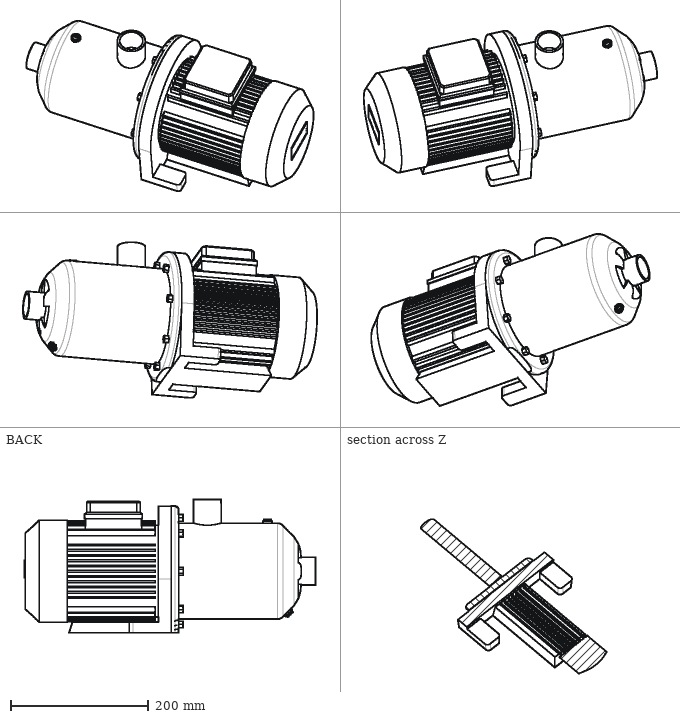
import cadquery as cq
import math

HEIGHT = 194.0
OUTLET_TOP = 104.5
BASE_Z = OUTLET_TOP - HEIGHT

SHOULDER_X = 55.5
FLANGE_X = 199.3
BRACKET_X = 210.0
MOTOR_X = 229.0
FIN_X = 233.5
FAN_COVER_X = 361.2
FAN_COVER_TAPER_X = 402.5
FAN_COVER_END_X = 422.7
END_X = 424.0

CASING_R = 140.0 / 2
SHOULDER_FILLET = 10.5
CONE_ANGLE = math.radians(45)
CONE_FRONT_R = 50.5
DOME_FRONT_X = 21.0
PORT_R = 40.5 / 2
PORT_BORE_R = 33.5 / 2
INLET_DEPTH = 19.5
OUTLET_X = 157.7
OUTLET_DEPTH = 34.0
POCKET_FLOOR_X = 25.0
POCKET_R = 39.5
POCKET_START = 19.0
POCKET_COUNT = 4
POCKET_SWEEP = 360 / POCKET_COUNT - 2 * POCKET_START

PLUG_R = 13.5 / 2
PLUG_HEIGHT = 4.0
PLUG_CHAMFER = 1.3
PLUG_DEPTH = 2.0
PLUG_RIDGE_WIDTH = 2.0
PLUG_RIDGE_HEIGHT = 1.5
VENT_PLUG_X = 70.0
DRAIN_PLUG_X = 40.5

FLANGE_R = 190.0 / 2
FLANGE_FILLET = 6.0
BOLT_COUNT = 8
BOLT_CIRCLE_R = 77.5
BOLT_CORNERS = 11.5
BOLT_HEAD = 6.5

BASE_HALF_WIDTH = 85.2
FOOT_TOP_Z = -73.8
PAD_END_X = 271.5
PAD_INNER_Y = 59.8
PAD_CORNER_R = 5.0
RIB_HALF_WIDTH = 35.0
RIB_DRAFT = 5.0
RIB_BOTTOM_END_X = 359.0

CORE_R = 134.0 / 2
FIN_TIP_R = 73.5
FIN_THICKNESS = 2.5
FIN_PITCH = 7.5
FINS_EACH_SIDE = 4
SIDE_FIN_OUTER = 38.0
TOP_FIN_OUTER = 41.5

FAN_COVER_R = 149.0 / 2
FAN_COVER_END_R = 55.5
PLATE_WIDTH = 56.0
PLATE_HEIGHT = 25.5
PLATE_Z = 3.0

BOX_X = 294.3
BOX_BASE = 82.0
BOX_RIM = 84.5
RIM_BOTTOM_Z = 76.5
RIM_TOP_Z = 85.5
LID_TOP_Z = 101.8
RIM_CHAMFER = 3.0
BOX_LID = BOX_RIM - 2 * RIM_CHAMFER
LID_CORNER_CHAMFER = 5.0
LID_TOP_CHAMFER = 2.0

SHOULDER_FRONT_X = SHOULDER_X - SHOULDER_FILLET * math.sin(CONE_ANGLE)
SHOULDER_FRONT_R = CASING_R - SHOULDER_FILLET * (1 - math.cos(CONE_ANGLE))
CONE_FRONT_X = SHOULDER_FRONT_X - (SHOULDER_FRONT_R - CONE_FRONT_R) / math.tan(CONE_ANGLE)


def cylinder_x(radius, start, end):
    """A round bar along the pump axis."""
    return cq.Workplane("YZ", origin=(start, 0, 0)).circle(radius).extrude(end - start)


def box_between(x0, x1, y0, y1, z0, z1):
    """A box given by its limits along each axis."""
    return cq.Workplane("XY").box(x1 - x0, y1 - y0, z1 - z0, centered=False).translate((x0, y0, z0))


def plug_frame(outward):
    """Workplane on the casing wall at a plug, facing outward."""
    if outward == "up":
        origin, normal = (VENT_PLUG_X, 0, CASING_R), (0, 0, 1)
    else:
        wall_r = CONE_FRONT_R + (DRAIN_PLUG_X - CONE_FRONT_X) * math.tan(CONE_ANGLE)
        origin = (DRAIN_PLUG_X, 0, -wall_r)
        normal = (-math.sin(CONE_ANGLE), 0, -math.cos(CONE_ANGLE))
    along_wall = (normal[2], 0, -normal[0])
    return cq.Plane(origin=origin, xDir=along_wall, normal=normal)


def make_plug(plane):
    """Round plug seated in the casing, with a grip ridge across its face."""
    seated = cq.Workplane(plane).circle(PLUG_R).extrude(-PLUG_DEPTH)
    head = cq.Workplane(plane).circle(PLUG_R).extrude(PLUG_HEIGHT)
    top_edge = cq.selectors.DirectionMinMaxSelector(plane.zDir)
    head = head.faces(top_edge).edges().chamfer(PLUG_CHAMFER)
    face_r = PLUG_R - PLUG_CHAMFER
    ridge = (
        cq.Workplane(plane)
        .workplane(offset=PLUG_HEIGHT)
        .rect(2 * face_r, PLUG_RIDGE_WIDTH)
        .extrude(PLUG_RIDGE_HEIGHT)
        .intersect(cq.Workplane(plane).circle(face_r).extrude(PLUG_HEIGHT + PLUG_RIDGE_HEIGHT))
    )
    return seated.union(head).union(ridge)


def make_pocket(start_angle):
    """Sector that flattens the dome between two of its radial arms."""
    angles = [math.radians(start_angle + POCKET_SWEEP * part) for part in (0, 0.5, 1)]
    start, middle, end = [(CONE_FRONT_R * math.cos(a), CONE_FRONT_R * math.sin(a)) for a in angles]
    sector = (
        cq.Workplane("YZ")
        .lineTo(*start)
        .threePointArc(middle, end)
        .close()
        .extrude(POCKET_FLOOR_X)
    )
    return sector.cut(cylinder_x(PORT_R, 0, POCKET_FLOOR_X))


def make_casing(plug_planes):
    """Pump casing with a domed front, an inlet, an outlet and seats for the plugs."""
    shoulder_mid = (
        SHOULDER_X - SHOULDER_FILLET * math.sin(CONE_ANGLE / 2),
        CASING_R - SHOULDER_FILLET * (1 - math.cos(CONE_ANGLE / 2)),
    )
    shell = (
        cq.Workplane("XY")
        .moveTo(DOME_FRONT_X, 0)
        .lineTo(DOME_FRONT_X, PORT_R)
        .threePointArc((POCKET_FLOOR_X, POCKET_R), (CONE_FRONT_X, CONE_FRONT_R))
        .lineTo(SHOULDER_FRONT_X, SHOULDER_FRONT_R)
        .threePointArc(shoulder_mid, (SHOULDER_X, CASING_R))
        .lineTo(FLANGE_X, CASING_R)
        .lineTo(FLANGE_X, 0)
        .close()
        .revolve(360, (0, 0, 0), (1, 0, 0))
    )
    for quarter in range(POCKET_COUNT):
        shell = shell.cut(make_pocket(POCKET_START + quarter * 360 / POCKET_COUNT))
    inlet = cylinder_x(PORT_R, 0, SHOULDER_X)
    outlet = cq.Workplane("XY").center(OUTLET_X, 0).circle(PORT_R).extrude(OUTLET_TOP)
    outlet_bore = (
        cq.Workplane("XY", origin=(OUTLET_X, 0, OUTLET_TOP)).circle(PORT_BORE_R).extrude(-OUTLET_DEPTH)
    )
    casing = shell.union(inlet).union(outlet)
    casing = casing.cut(cylinder_x(PORT_BORE_R, 0, INLET_DEPTH)).cut(outlet_bore)
    for plane in plug_planes:
        casing = casing.cut(cq.Workplane(plane).circle(PLUG_R).extrude(-PLUG_DEPTH))
    return casing


def make_flange():
    """Clamping flange, cut flat at the base, with its ring of hexagonal bolt heads."""
    disc = cylinder_x(FLANGE_R, FLANGE_X, BRACKET_X).faces("<X").edges().fillet(FLANGE_FILLET)
    below_base = box_between(FLANGE_X, BRACKET_X, -FLANGE_R, FLANGE_R, -FLANGE_R, BASE_Z)
    flange = disc.cut(below_base)
    head_center = (FLANGE_X, 0, BOLT_CIRCLE_R)
    head = cq.Workplane("YZ", origin=head_center).polygon(6, BOLT_CORNERS).extrude(-BOLT_HEAD)
    for i in range(BOLT_COUNT):
        flange = flange.union(head.rotate((0, 0, 0), (1, 0, 0), i * 360 / BOLT_COUNT))
    return flange


def make_bracket():
    """Round plate that runs tangentially into a flat base, with two pads and a central rib."""
    reach = math.hypot(BASE_HALF_WIDTH, BASE_Z)
    tangent_angle = math.atan2(BASE_Z, BASE_HALF_WIDTH) + math.acos(FLANGE_R / reach)
    tangent_y = FLANGE_R * math.cos(tangent_angle)
    tangent_z = FLANGE_R * math.sin(tangent_angle)
    plate_and_foot = (
        cq.Workplane("YZ", origin=(BRACKET_X, 0, 0))
        .moveTo(-BASE_HALF_WIDTH, BASE_Z)
        .lineTo(BASE_HALF_WIDTH, BASE_Z)
        .lineTo(tangent_y, tangent_z)
        .threePointArc((0, FLANGE_R), (-tangent_y, tangent_z))
        .close()
        .extrude(PAD_END_X - BRACKET_X)
    )
    plate = plate_and_foot.intersect(
        box_between(BRACKET_X, MOTOR_X, -FLANGE_R, FLANGE_R, BASE_Z, FLANGE_R)
    )
    pad_zone = box_between(MOTOR_X, PAD_END_X, PAD_INNER_Y, FLANGE_R, BASE_Z, FOOT_TOP_Z)
    pad = plate_and_foot.intersect(pad_zone).faces(">X").edges("not |Y").fillet(PAD_CORNER_R)
    return plate.union(pad).union(pad.mirror("XZ")).union(make_rib())


def make_rib():
    """Central foot under the motor, with drafted sides and a drafted end."""
    side_outline = (
        cq.Workplane("XZ")
        .polyline(
            [
                (MOTOR_X, BASE_Z),
                (RIB_BOTTOM_END_X, BASE_Z),
                (RIB_BOTTOM_END_X - RIB_DRAFT, FOOT_TOP_Z),
                (MOTOR_X, FOOT_TOP_Z),
            ]
        )
        .close()
        .extrude(RIB_HALF_WIDTH, both=True)
    )
    end_outline = (
        cq.Workplane("YZ", origin=(MOTOR_X, 0, 0))
        .polyline(
            [
                (-RIB_HALF_WIDTH, BASE_Z),
                (RIB_HALF_WIDTH, BASE_Z),
                (RIB_HALF_WIDTH - RIB_DRAFT, FOOT_TOP_Z),
                (RIB_DRAFT - RIB_HALF_WIDTH, FOOT_TOP_Z),
            ]
        )
        .close()
        .extrude(RIB_BOTTOM_END_X - MOTOR_X)
    )
    return side_outline.intersect(end_outline)


def make_fin_bank(outer_offset):
    """Parallel fins that stand out of the core on its +Z and -Z sides."""
    inner = [FIN_PITCH * i for i in range(-FINS_EACH_SIDE, FINS_EACH_SIDE + 1)]
    half = FIN_THICKNESS / 2
    bank = cq.Workplane("XY")
    for y in [-outer_offset, *inner, outer_offset]:
        bank = bank.union(box_between(FIN_X, FAN_COVER_X, y - half, y + half, -FIN_TIP_R, FIN_TIP_R))
    return bank.intersect(cylinder_x(FIN_TIP_R, FIN_X, FAN_COVER_X))


def make_motor():
    """Round core with four banks of cooling fins."""
    core = cylinder_x(CORE_R, MOTOR_X, FAN_COVER_X)
    side_fins = make_fin_bank(SIDE_FIN_OUTER).rotate((0, 0, 0), (1, 0, 0), 90)
    return core.union(make_fin_bank(TOP_FIN_OUTER)).union(side_fins)


def make_fan_cover():
    """Cover with a conical end and a raised plate on the end face."""
    cover = (
        cq.Workplane("XY")
        .polyline(
            [
                (FAN_COVER_X, 0),
                (FAN_COVER_X, FAN_COVER_R),
                (FAN_COVER_TAPER_X, FAN_COVER_R),
                (FAN_COVER_END_X, FAN_COVER_END_R),
                (FAN_COVER_END_X, 0),
            ]
        )
        .close()
        .revolve(360, (0, 0, 0), (1, 0, 0))
    )
    plate = (
        cq.Workplane("YZ", origin=(FAN_COVER_END_X, 0, PLATE_Z))
        .rect(PLATE_WIDTH, PLATE_HEIGHT)
        .extrude(END_X - FAN_COVER_END_X)
    )
    return cover.union(plate)


def make_terminal_box():
    """Square box that rests on the fin tips, with a rim and a bevelled lid."""

    def block(side, bottom, top):
        return cq.Workplane("XY", origin=(BOX_X, 0, bottom)).rect(side, side).extrude(top - bottom)

    base = block(BOX_BASE, 0, RIM_BOTTOM_Z).cut(cylinder_x(FIN_TIP_R, MOTOR_X, FAN_COVER_X))
    rim = block(BOX_RIM, RIM_BOTTOM_Z, RIM_TOP_Z).faces(">Z").edges().chamfer(RIM_CHAMFER)
    lid = block(BOX_LID, RIM_TOP_Z, LID_TOP_Z).edges("|Z").chamfer(LID_CORNER_CHAMFER)
    lid = lid.faces(">Z").edges().chamfer(LID_TOP_CHAMFER)
    return base.union(rim).union(lid)


plug_planes = [plug_frame("up"), plug_frame("down")]
casing = make_casing(plug_planes)
plugs = [make_plug(plane) for plane in plug_planes]
flange = make_flange()
bracket = make_bracket()
motor = make_motor()
fan_cover = make_fan_cover()
terminal_box = make_terminal_box()

result = cq.Compound.makeCompound(
    [
        casing.val(),
        *[plug.val() for plug in plugs],
        flange.val(),
        bracket.val(),
        motor.val(),
        fan_cover.val(),
        terminal_box.val(),
    ]
)